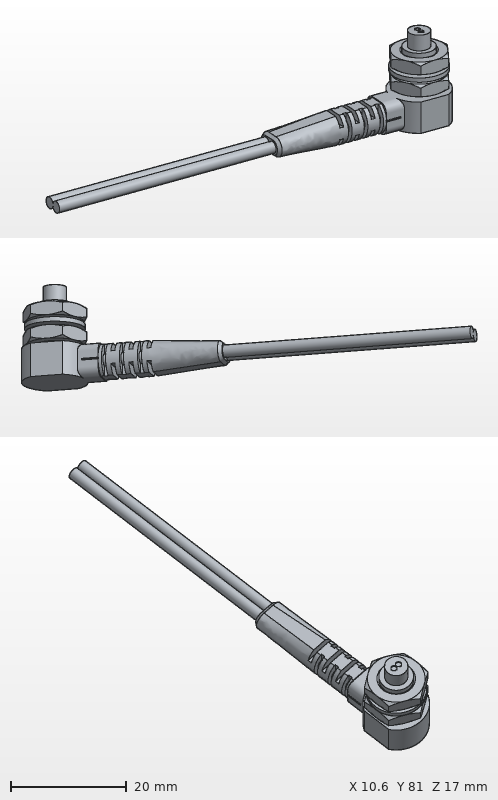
import cadquery as cq
import math

housing_across_flats = 10.0
housing_radius = housing_across_flats / math.sqrt(3)
housing_height = 6.0

spindle_radius = 3.0
spindle_top = 14.0
tip_radius = 2.0
tip_top = 17.0
washer_radius = 5.3
washer_bottom = 9.55
washer_thickness = 0.8
window_radius = 0.53
window_spacing = 1.1
window_depth = 0.25

nut_across_flats = housing_across_flats
nut_thickness = 2.4
nut_bottoms = [6.65, 10.85]
nut_corner_angle = 90
nut_chamfer_angle = 30
nut_bore_chamfer = 0.3

stem_width = 6.0
stem_corner_radius = 1.5
stem_end = 8.7
stem_groove_start = 5.7
stem_groove_width = 0.25
stem_groove_depth = 0.25

sleeve_half_width = 3.1
sleeve_half_height = 2.8
sleeve_top_half_flat = 1.45
sleeve_end = 30.8
sleeve_end_half_height = 1.9
sleeve_end_half_flat = 1.1
sleeve_end_chamfer = 0.5
sleeve_chamfer_length = 0.65

slot_count = 3
slot_pitch = 3.2
slot_width = 0.7
first_side_slot = 9.6
side_slot_web = 2.4
first_top_slot = first_side_slot + slot_pitch / 2
top_slot_web = 2.3
taper_start = first_top_slot + (slot_count - 1) * slot_pitch

cable_level = housing_height / 2
core_radius = 1.09
core_spacing = 2.1
overall_length = 81.0
cable_end = overall_length - housing_radius


def box(width, depth, height, center):
    return cq.Workplane("XY").box(width, depth, height).translate(center)


def section_plane(distance):
    """Plane across the cable at a distance from the housing axis; local x is X, local y is Z."""
    return cq.Workplane("XZ", origin=(0, -distance, cable_level))


def make_housing_block():
    block = cq.Workplane("XY").circle(housing_radius).extrude(housing_height)
    flats = cq.Workplane("XY").rect(housing_across_flats, 2 * housing_radius).extrude(housing_height)
    return block.intersect(flats)


def make_spindle():
    spindle = cq.Workplane("XY").circle(spindle_radius).extrude(spindle_top)
    tip = cq.Workplane("XY").circle(tip_radius).extrude(tip_top)
    washer = (
        cq.Workplane("XY", origin=(0, 0, washer_bottom)).circle(washer_radius).extrude(washer_thickness)
    )
    windows = (
        cq.Workplane("XY", origin=(0, 0, tip_top))
        .pushPoints([(-window_spacing / 2, 0), (window_spacing / 2, 0)])
        .circle(window_radius)
        .extrude(-window_depth)
    )
    return spindle.union(tip).union(washer).cut(windows)


def make_stem():
    stem = (
        section_plane(0)
        .rect(stem_width, housing_height)
        .extrude(stem_end)
        .edges("|Y")
        .fillet(stem_corner_radius)
    )
    groove_length = stem_end - stem_groove_start
    for side in (-1, 1):
        groove_center = (side * stem_width / 2, -(stem_groove_start + stem_end) / 2, cable_level)
        stem = stem.cut(box(2 * stem_groove_depth, groove_length, stem_groove_width, groove_center))
    return stem


def sleeve_section(plane, half_flat, half_width, half_height):
    """Flat top and bottom joined by bulging sides."""
    return (
        plane.moveTo(-half_flat, half_height)
        .lineTo(half_flat, half_height)
        .threePointArc((half_width, 0), (half_flat, -half_height))
        .lineTo(-half_flat, -half_height)
        .threePointArc((-half_width, 0), (-half_flat, half_height))
        .close()
    )


def make_sleeve():
    full_size = (sleeve_top_half_flat, sleeve_half_width, sleeve_half_height)
    tapered_size = (sleeve_end_half_flat, sleeve_half_width, sleeve_end_half_height)
    end_size = (
        sleeve_end_half_flat,
        sleeve_half_width - sleeve_end_chamfer,
        sleeve_end_half_height - sleeve_end_chamfer,
    )
    chamfer_start = sleeve_end - sleeve_chamfer_length
    sleeve = sleeve_section(section_plane(stem_end), *full_size).extrude(taper_start - stem_end)
    stretches = [
        (taper_start, full_size, chamfer_start, tapered_size),
        (chamfer_start, tapered_size, sleeve_end, end_size),
    ]
    for start, start_size, end, finish_size in stretches:
        near = sleeve_section(section_plane(start), *start_size)
        far = near.workplane(offset=end - start)
        sleeve = sleeve.union(sleeve_section(far, *finish_size).loft(ruled=True))
    return cut_slots(sleeve)


def cut_slots(sleeve):
    for index in range(slot_count):
        side_slot = -(first_side_slot + index * slot_pitch)
        top_slot = -(first_top_slot + index * slot_pitch)
        for side in (-1, 1):
            side_offset = side * (side_slot_web + stem_width) / 2
            top_offset = side * (top_slot_web + housing_height) / 2
            sleeve = sleeve.cut(
                box(stem_width, slot_width, housing_height, (side_offset, side_slot, cable_level))
            )
            sleeve = sleeve.cut(
                box(stem_width, slot_width, housing_height, (0, top_slot, cable_level + top_offset))
            )
    return sleeve


def make_cable():
    cores = [
        section_plane(stem_end)
        .center(side * core_spacing / 2, 0)
        .circle(core_radius)
        .extrude(cable_end - stem_end)
        for side in (-1, 1)
    ]
    return cores[0].union(cores[1])


def make_sensor():
    sensor = make_housing_block().union(make_spindle()).union(make_stem())
    return sensor.union(make_sleeve()).union(make_cable())


def revolved_plug(face_radius, middle_radius, cone_height):
    """Round plug as thick as a nut, with a cone at each end from face_radius to middle_radius."""
    return (
        cq.Workplane("XZ")
        .polyline([
            (0, 0),
            (face_radius, 0),
            (middle_radius, cone_height),
            (middle_radius, nut_thickness - cone_height),
            (face_radius, nut_thickness),
            (0, nut_thickness),
        ])
        .close()
        .revolve(360, (0, 0), (0, 1))
    )


def make_nut(bottom):
    """Hexagon nut with corners on the Y axis, chamfered outside and in the bore on both faces."""
    corner_radius = nut_across_flats / math.sqrt(3)
    face_radius = nut_across_flats / 2
    chamfer_height = (corner_radius - face_radius) * math.tan(math.radians(nut_chamfer_angle))
    hexagon = (
        cq.Workplane("XY")
        .transformed(rotate=(0, 0, nut_corner_angle))
        .polygon(6, 2 * corner_radius)
        .extrude(nut_thickness)
    )
    chamfer_envelope = revolved_plug(face_radius, corner_radius, chamfer_height)
    bore = revolved_plug(spindle_radius + nut_bore_chamfer, spindle_radius, nut_bore_chamfer)
    return hexagon.intersect(chamfer_envelope).cut(bore).translate((0, 0, bottom))


sensor = make_sensor()
nuts = [make_nut(bottom) for bottom in nut_bottoms]

result = cq.Compound.makeCompound([sensor.val(), *[nut.val() for nut in nuts]])